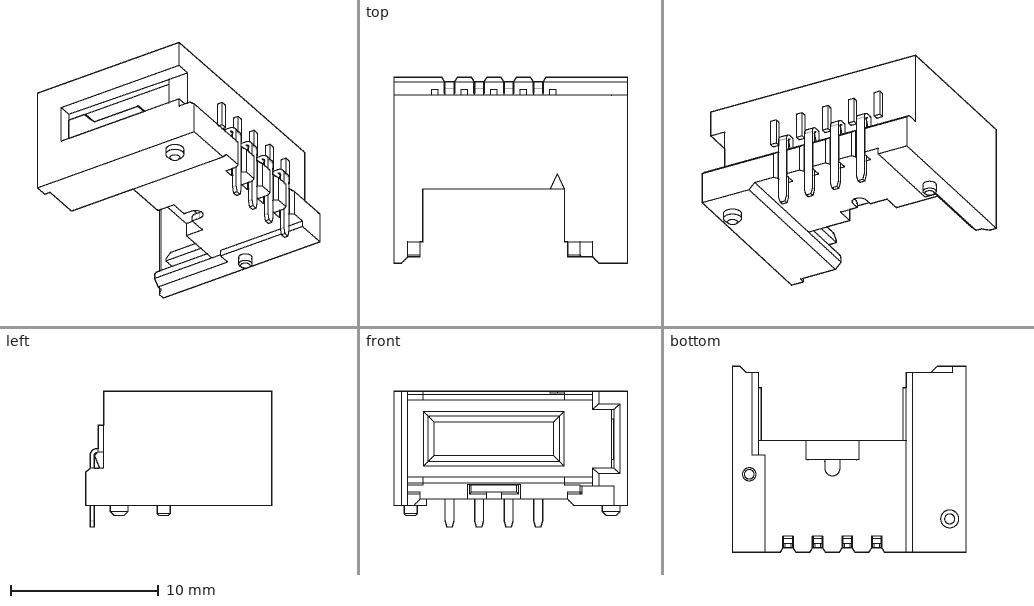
import cadquery as cq


width = 15.8
body_depth = 11.38
total_depth = 12.6
height = 7.74
side_wall = 0.93
bevel = 0.43

floor_top = 1.95
floor_bottom = 1.39
ceiling = 7.14
cavity_right = 13.43
cavity_back = 9.88
lead_in = 0.4

leg_front = 1.45
cutout_left = 1.96
cutout_right = 11.53
cutout_back = 5.02

channel_bottom = 2.55
channel_top = 6.51
channel_right = width - side_wall
channel_flare = 0.38
channel_draft = 0.15
window_bottom = 3.13
window_top = 5.86
window_front = 1.91

underside = 0.45
left_rail_edge = 1.77
left_foot_edge = 2.21
left_foot_front = 6.0
right_rail_edge = 11.74
rail_top = 0.92
slot_right = 12.58
slot_bevel = 0.13
right_foot_top = 1.35

latch_center = 6.76
latch_recess_width = 3.59
latch_recess_back = 6.32
latch_recess_top = 1.42
latch_pocket_width = 3.08
latch_pocket_back = 7.9
latch_slot_width = 1.01
latch_slot_back = 7.43

tongue_left = 2.3
tongue_right = 11.2
tongue_bottom = 2.99
tongue_top = 6.07
tongue_front = 5.9
tip_bevel = 0.41
root_bevel = 0.32

ledge_top = 2.55
ledge_bevel_depth = 0.32
ledge_bevel_height = 0.27
pin_count = 4
pitch = 1.999
first_pin = 3.76
pin_width = 0.62
pin_thickness = 0.28
pin_back = 12.3
pin_bend = 0.47
pin_top = 3.87
pin_tip = -1.45
pin_taper = 0.43
pin_embed = 0.28
pin_tip_width = 0.38
pin_slot_width = 0.7
slot_front = 11.5
slot_flare = 0.17
slot_flare_depth = 0.28
wedge_base = 11.66
rib_width = 0.45
rib_depth = 0.38
rib_bottom = 3.63
rib_top = 5.45

peg_length = 0.66
small_peg_x = 1.14
small_peg_y = 7.32
small_peg_diameter = 0.9
small_peg_chamfer = 0.13
large_peg_x = 14.7
large_peg_y = 10.33
large_peg_diameter = 1.22
large_peg_chamfer = 0.27

mark_length = 1.03
mark_width = 0.96
mark_depth = 0.11


def block(x_range, y_range, z_range):
    """Box spanning the given (low, high) ranges."""
    (x0, x1), (y0, y1), (z0, z1) = x_range, y_range, z_range
    return cq.Workplane("XY").box(x1 - x0, y1 - y0, z1 - z0, centered=False).translate((x0, y0, z0))


def prism_x(points, x_range):
    """Prism along X from (y, z) points."""
    x0, x1 = x_range
    return cq.Workplane("YZ", origin=(x0, 0, 0)).polyline(points).close().extrude(x1 - x0)


def prism_y(points, y_range):
    """Prism along Y from (x, z) points."""
    y0, y1 = y_range
    return cq.Workplane("XZ", origin=(0, y0, 0)).polyline(points).close().extrude(y0 - y1)


def prism_z(points, z_range):
    """Prism along Z from (x, y) points."""
    z0, z1 = z_range
    return cq.Workplane("XY", origin=(0, 0, z0)).polyline(points).close().extrude(z1 - z0)


def frustum_y(y0, rect0, y1, rect1):
    """Tapered block along Y between two (x0, x1, z0, z1) rectangles."""

    def outline(y, rect):
        x0, x1, z0, z1 = rect
        return cq.Wire.makePolygon([(x0, y, z0), (x1, y, z0), (x1, y, z1), (x0, y, z1)], close=True)

    return cq.Workplane(cq.Solid.makeLoft([outline(y0, rect0), outline(y1, rect1)], True))


def inset(rect, amount):
    """Rectangle shrunk by the amount on every side."""
    x0, x1, z0, z1 = rect
    return x0 + amount, x1 - amount, z0 + amount, z1 - amount


def housing_blank():
    profile = [
        (0, 0),
        (total_depth, 0),
        (total_depth, ledge_top - ledge_bevel_height),
        (total_depth - ledge_bevel_depth, ledge_top),
        (body_depth, ledge_top),
        (body_depth, height),
        (0, height),
    ]
    return prism_x(profile, (0, width))


def cut_cavity(part):
    across = (side_wall, cavity_right)
    part = part.cut(block(across, (0, cavity_back), (floor_top, ceiling)))
    part = part.cut(block(across, (0, leg_front), (right_foot_top, height)))
    part = part.cut(block((cutout_left, cutout_right), (0, cutout_back), (rail_top, height)))
    edges = [
        (side_wall, cutout_left, leg_front),
        (cutout_left, cutout_right, cutout_back),
        (cutout_right, cavity_right, leg_front),
    ]
    for left, right, front in edges:
        for surface, direction in ((floor_top, -1), (ceiling, 1)):
            corner = [
                (front, surface),
                (front + lead_in, surface),
                (front, surface + direction * lead_in),
            ]
            part = part.cut(prism_x(corner, (left, right)))
    left_edge = [(side_wall - bevel, 0), (side_wall, 0), (side_wall, bevel)]
    right_edge = [(cavity_right, 0), (cavity_right + bevel, 0), (cavity_right, bevel)]
    part = part.cut(prism_z(left_edge, (0, height)))
    return part.cut(prism_z(right_edge, (right_foot_top, height)))


def cut_side_channel(part):
    plan = [
        (cavity_right, 0),
        (channel_right, 0),
        (channel_right, bevel),
        (channel_right - channel_draft, cavity_back),
        (cavity_right, cavity_back),
    ]
    part = part.cut(prism_z(plan, (channel_bottom, channel_top)))
    mouth = (
        cavity_right,
        channel_right + bevel,
        channel_bottom - channel_flare,
        channel_top + channel_flare,
    )
    throat = (cavity_right, channel_right, channel_bottom, channel_top)
    part = part.cut(frustum_y(0, mouth, bevel, throat))
    return part.cut(
        block(
            (channel_right - channel_draft, width),
            (window_front, body_depth),
            (window_bottom, window_top),
        )
    )


def cut_underside(part):
    part = part.cut(block((side_wall, channel_right), (0, bevel), (0, right_foot_top)))
    part = part.cut(block((side_wall, slot_right), (0, cutout_back), (rail_top, floor_bottom)))
    entry = bevel + slot_bevel
    rail_lip = [(bevel, rail_top), (entry, rail_top), (bevel, rail_top - slot_bevel)]
    part = part.cut(prism_x(rail_lip, (side_wall, slot_right + slot_bevel)))
    slot_lip = [(slot_right, bevel), (slot_right, entry), (slot_right + slot_bevel, bevel)]
    part = part.cut(prism_z(slot_lip, (rail_top - slot_bevel, floor_bottom)))
    part = part.cut(block((left_rail_edge, right_rail_edge), (0, cutout_back), (0, rail_top)))
    part = part.cut(block((left_rail_edge, right_rail_edge), (0, left_foot_front), (0, underside)))
    part = part.cut(block((left_foot_edge, right_rail_edge), (0, total_depth), (0, underside)))
    right_corner = [(right_rail_edge, 0), (right_rail_edge + underside, 0), (right_rail_edge, underside)]
    left_corner = [(left_rail_edge, 0), (left_rail_edge - underside, 0), (left_rail_edge, underside)]
    part = part.cut(prism_y(right_corner, (0, total_depth)))
    return part.cut(prism_y(left_corner, (0, left_foot_front)))


def cut_latch_pocket(part):
    def centered(span):
        return latch_center - span / 2, latch_center + span / 2

    recess = block(
        centered(latch_recess_width),
        (cutout_back, latch_recess_back),
        (underside, latch_recess_top),
    )
    left, right = centered(latch_pocket_width)
    pocket = block((left, right), (latch_recess_back, latch_pocket_back), (rail_top, floor_bottom))
    entry = frustum_y(
        latch_recess_back,
        (left - slot_bevel, right + slot_bevel, rail_top - slot_bevel, floor_bottom),
        latch_recess_back + slot_bevel,
        (left, right, rail_top, floor_bottom),
    )
    radius = latch_slot_width / 2
    slot = block(
        centered(latch_slot_width),
        (latch_recess_back, latch_slot_back - radius),
        (underside, rail_top),
    )
    slot_end = (
        cq.Workplane("XY", origin=(latch_center, latch_slot_back - radius, underside))
        .circle(radius)
        .extrude(rail_top - underside)
    )
    return part.cut(recess).cut(pocket).cut(entry).cut(slot).cut(slot_end)


def cut_pin_one_mark(part):
    triangle = [
        (cutout_right - mark_width, cutout_back),
        (cutout_right, cutout_back),
        (cutout_right - mark_width / 2, cutout_back + mark_length),
    ]
    return part.cut(prism_z(triangle, (height - mark_depth, height)))


def tongue():
    section = (tongue_left, tongue_right, tongue_bottom, tongue_top)
    tip = inset(section, tip_bevel)
    root = inset(section, -root_bevel)
    shoulder_y = tongue_front + tip_bevel
    root_y = cavity_back - root_bevel
    return (
        frustum_y(tongue_front, tip, shoulder_y, section)
        .union(frustum_y(shoulder_y, section, root_y, section))
        .union(frustum_y(root_y, section, cavity_back, root))
    )


def pin_slot(x):
    half = pin_slot_width / 2
    flare_start = total_depth - slot_flare_depth
    plan = [
        (x - half, slot_front),
        (x + half, slot_front),
        (x + half, flare_start),
        (x + half + slot_flare, total_depth),
        (x - half - slot_flare, total_depth),
        (x - half, flare_start),
    ]
    return prism_z(plan, (0, ledge_top))


def pin(x):
    """Bent pin with a tapered tip, and the wedge of housing below its bend."""
    inner_bend = pin_bend - pin_thickness
    pin_front = pin_back - pin_thickness
    bend_y = pin_back - pin_bend
    bend_z = pin_top - pin_bend
    diagonal = 0.5 ** 0.5
    bent = (
        cq.Workplane("YZ", origin=(x - pin_width / 2, 0, 0))
        .moveTo(pin_front, pin_tip)
        .lineTo(pin_back, pin_tip)
        .lineTo(pin_back, bend_z)
        .threePointArc((bend_y + pin_bend * diagonal, bend_z + pin_bend * diagonal), (bend_y, pin_top))
        .lineTo(body_depth - pin_embed, pin_top)
        .lineTo(body_depth - pin_embed, pin_top - pin_thickness)
        .lineTo(bend_y, pin_top - pin_thickness)
        .threePointArc(
            (bend_y + inner_bend * diagonal, bend_z + inner_bend * diagonal),
            (pin_front, bend_z),
        )
        .close()
        .extrude(pin_width)
    )
    for side in (-1, 1):
        edge = x + side * pin_width / 2
        tip_corner = [
            (edge, pin_tip),
            (x + side * pin_tip_width / 2, pin_tip),
            (edge, pin_tip + pin_taper),
        ]
        bent = bent.cut(prism_y(tip_corner, (pin_front, pin_back)))
    wedge = prism_x(
        [
            (body_depth, ledge_top),
            (wedge_base, ledge_top),
            (pin_front, bend_z),
            (bend_y, pin_top - pin_thickness),
            (body_depth, pin_top - pin_thickness),
        ],
        (x - pin_width / 2, x + pin_width / 2),
    )
    return bent.union(wedge)


def rib(x):
    return block(
        (x - rib_width / 2, x + rib_width / 2),
        (body_depth, body_depth + rib_depth),
        (rib_bottom, rib_top),
    )


def peg(x, y, diameter, chamfer):
    return (
        cq.Workplane("XY", origin=(x, y, 0))
        .circle(diameter / 2)
        .extrude(-peg_length)
        .faces("<Z")
        .chamfer(chamfer)
    )


result = housing_blank()
result = cut_cavity(result)
result = cut_side_channel(result)
result = cut_underside(result)
result = cut_latch_pocket(result)
result = cut_pin_one_mark(result)
result = result.union(tongue())

for i in range(pin_count):
    pin_x = first_pin + i * pitch
    result = result.cut(pin_slot(pin_x)).union(pin(pin_x))

for i in range(pin_count + 1):
    result = result.union(rib(first_pin + (i - 0.5) * pitch))

result = result.union(peg(small_peg_x, small_peg_y, small_peg_diameter, small_peg_chamfer))
result = result.union(peg(large_peg_x, large_peg_y, large_peg_diameter, large_peg_chamfer))